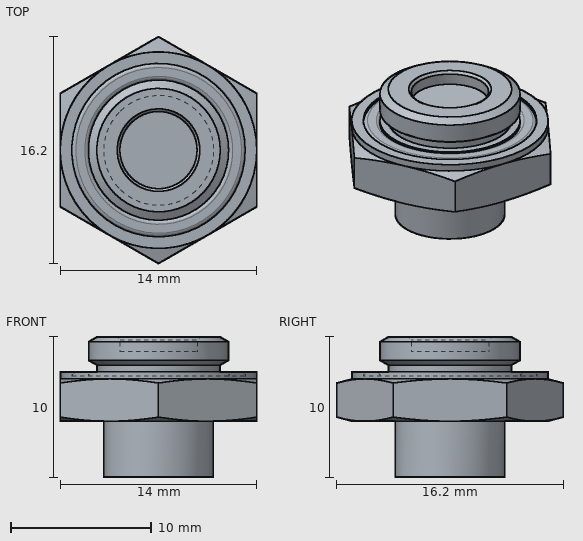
import cadquery as cq
import math

HEX_CORNER_RADIUS = 8.08
HEX_FLAT_RADIUS = HEX_CORNER_RADIUS * math.cos(math.pi / 6)
HEX_CHAMFER_ANGLE = 15.0

STUB_TOP = 4.0
HEX_TOP = 7.0
FLANGE_TOP = 7.5
TOTAL_HEIGHT = 10.0
COLLAR_BOTTOM = 7.99

STUB_RADIUS = 3.91
NECK_RADIUS = 4.4
COLLAR_RADIUS = 5.0
COLLAR_CHAMFER_HEIGHT = 0.34

BORE_RADIUS = 2.75
BORE_DEPTH = 1.0
BORE_CHAMFER = 0.2

SEAL_OUTER_RADIUS = 6.18
GROOVE_DEPTH = FLANGE_TOP - HEX_TOP
SEAL_INNER_RADIUS = COLLAR_RADIUS
SEAL_EDGE_RADIUS = 0.27


def cylinder(radius, bottom, top):
    return cq.Workplane("XY").workplane(offset=bottom).circle(radius).extrude(top - bottom)


def make_hexagon():
    """Hexagon with its corners turned down by a shallow cone at both ends."""
    hexagon = (
        cq.Workplane("XY")
        .workplane(offset=STUB_TOP)
        .polygon(6, 2 * HEX_CORNER_RADIUS)
        .extrude(HEX_TOP - STUB_TOP)
        .rotate((0, 0, 0), (0, 0, 1), 30)
    )
    corner_drop = (HEX_CORNER_RADIUS - HEX_FLAT_RADIUS) * math.tan(math.radians(HEX_CHAMFER_ANGLE))
    turned_envelope = (
        cq.Workplane("XZ")
        .moveTo(0, STUB_TOP)
        .lineTo(HEX_FLAT_RADIUS, STUB_TOP)
        .lineTo(HEX_CORNER_RADIUS, STUB_TOP + corner_drop)
        .lineTo(HEX_CORNER_RADIUS, HEX_TOP - corner_drop)
        .lineTo(HEX_FLAT_RADIUS, HEX_TOP)
        .lineTo(0, HEX_TOP)
        .close()
        .revolve(360, (0, 0, 0), (0, 1, 0))
    )
    return hexagon.intersect(turned_envelope)


def make_collar():
    """Collar chamfered down to the neck radius at both ends."""
    return (
        cq.Workplane("XZ")
        .moveTo(0, COLLAR_BOTTOM)
        .lineTo(NECK_RADIUS, COLLAR_BOTTOM)
        .lineTo(COLLAR_RADIUS, COLLAR_BOTTOM + COLLAR_CHAMFER_HEIGHT)
        .lineTo(COLLAR_RADIUS, TOTAL_HEIGHT - COLLAR_CHAMFER_HEIGHT)
        .lineTo(NECK_RADIUS, TOTAL_HEIGHT)
        .lineTo(0, TOTAL_HEIGHT)
        .close()
        .revolve(360, (0, 0, 0), (0, 1, 0))
    )


def make_groove():
    """Rectangular ring filling the whole groove."""
    groove_floor = FLANGE_TOP - GROOVE_DEPTH
    return cylinder(SEAL_OUTER_RADIUS, groove_floor, FLANGE_TOP).cut(
        cylinder(SEAL_INNER_RADIUS, groove_floor, FLANGE_TOP)
    )


def make_seal():
    return make_groove().faces(">Z").edges().fillet(SEAL_EDGE_RADIUS)


def make_bore():
    """Blind bore with a 45 degree chamfered mouth."""
    return (
        cq.Workplane("XZ")
        .moveTo(0, TOTAL_HEIGHT - BORE_DEPTH)
        .lineTo(BORE_RADIUS, TOTAL_HEIGHT - BORE_DEPTH)
        .lineTo(BORE_RADIUS, TOTAL_HEIGHT - BORE_CHAMFER)
        .lineTo(BORE_RADIUS + BORE_CHAMFER, TOTAL_HEIGHT)
        .lineTo(0, TOTAL_HEIGHT)
        .close()
        .revolve(360, (0, 0, 0), (0, 1, 0))
    )


result = (
    cylinder(STUB_RADIUS, 0, STUB_TOP)
    .union(make_hexagon())
    .union(cylinder(HEX_FLAT_RADIUS, HEX_TOP, FLANGE_TOP))
    .cut(make_groove())
    .union(make_seal())
    .union(cylinder(NECK_RADIUS, STUB_TOP, COLLAR_BOTTOM))
    .union(make_collar())
    .cut(make_bore())
)